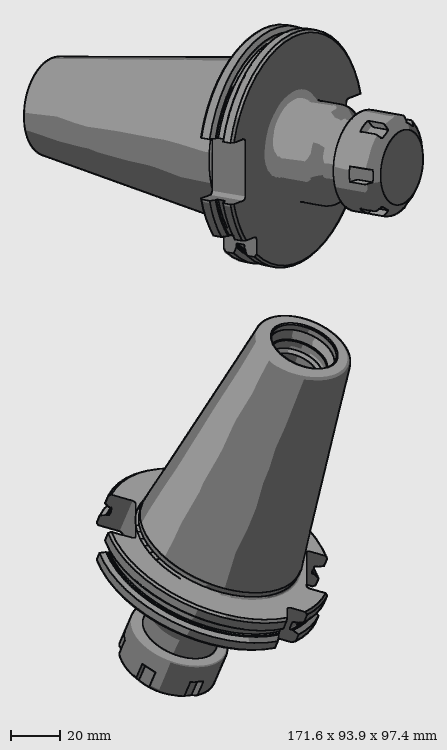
import cadquery as cq
import math

overall_length = 171.6

gauge_x = 101.0
gauge_diameter = 69.8
taper_slope = 7 / 48
taper_end_radius = gauge_diameter / 2 - gauge_x * taper_slope
taper_end_fillet = 2.2

relief_radius = 34.7
relief_start_x = 102.0
relief_fillet = 1.0

flange_start_x = 104.5
flange_end_x = 120.6
flange_radius = 48.7
flange_chamfer = 1.0

groove_x = 112.7
groove_floor_radius = 45.3
groove_mouth_width = 6.5
groove_floor_width = 4.0
groove_side_angle = 30.0
groove_floor_fillet = 0.5

slot_width = 25.7
front_slot_depth_y = 37.8
back_slot_depth_y = 35.5
notch_y = 29.5
notch_z = 30.0
slot_fillet = 1.5

hub_diameter = 41.7
hub_radius = hub_diameter / 2
hub_root_fillet = 6.2
hub_shoulder_fillet = 3.3
neck_radius = 16.0
neck_root_fillet = 0.9
neck_start_x = 144.0
hub_end_x = neck_start_x - (hub_radius - neck_radius)

bore_mouth_radius = 14.5
bore_recess_radius = 13.9
bore_recess_chamfer = bore_mouth_radius - bore_recess_radius
bore_recess_end_x = 3.1
bore_guide_radius = 12.5
bore_guide_x = 7.0
bore_thread_radius = 12.2
bore_thread_chamfer = bore_guide_radius - bore_thread_radius
bore_thread_end_x = 10.0
bore_runout_radius = 11.8
bore_runout_x = 11.2
bore_core_radius = 10.1
bore_core_start_x = 12.4
bore_core_end_x = 68.6
drill_half_angle = 59.0

nut_start_x = 151.7
nut_radius = hub_radius
nut_back_fillet = 1.0
nut_cone_start_x = 167.7
nut_face_radius = 15.5
nut_edge_fillet = 1.4

wrench_slot_count = 6
wrench_slot_floor_radius = 18.0
wrench_slot_floor_width = 5.1
wrench_slot_wall_angle = 15.0
wrench_slot_end_x = 162.0
wrench_slot_end_angle = 36.0
wrench_slot_fillet = 1.5


def turned(outline):
    """Revolve an outline of (x, radius) points about the X axis."""
    return outline.close().revolve(360, (0, 0, 0), (1, 0, 0))


def fillet_round_edge(body, x, edge_radius, fillet_radius):
    """Round the circular edge that has this place along the axis and this radius."""
    margin = 0.2
    reach = edge_radius + margin
    around_edge = cq.selectors.BoxSelector(
        (x - margin, -reach, -reach), (x + margin, reach, reach), boundingbox=True
    )
    inside_edge = cq.selectors.BoxSelector(
        (x - margin, margin - edge_radius, margin - edge_radius),
        (x + margin, edge_radius - margin, edge_radius - margin),
        boundingbox=True,
    )
    return body.edges(around_edge - inside_edge).fillet(fillet_radius)


def holder_blank():
    """Taper, relief, flange, hub and neck as one turned solid."""
    outline = (
        cq.Workplane("XY")
        .lineTo(0, taper_end_radius)
        .lineTo(gauge_x, gauge_diameter / 2)
        .lineTo(relief_start_x, relief_radius)
        .lineTo(flange_start_x - relief_fillet, relief_radius)
        .radiusArc((flange_start_x, relief_radius + relief_fillet), -relief_fillet)
        .lineTo(flange_start_x, flange_radius - flange_chamfer)
        .lineTo(flange_start_x + flange_chamfer, flange_radius)
        .lineTo(flange_end_x - flange_chamfer, flange_radius)
        .lineTo(flange_end_x, flange_radius - flange_chamfer)
        .lineTo(flange_end_x, hub_radius + hub_root_fillet)
        .radiusArc((flange_end_x + hub_root_fillet, hub_radius), -hub_root_fillet)
        .lineTo(hub_end_x, hub_radius)
        .lineTo(neck_start_x, neck_radius)
        .lineTo(nut_start_x, neck_radius)
        .lineTo(nut_start_x, 0)
    )
    blank = turned(outline)
    blank = fillet_round_edge(blank, 0, taper_end_radius, taper_end_fillet)
    blank = fillet_round_edge(blank, neck_start_x, neck_radius, neck_root_fillet)
    return fillet_round_edge(blank, hub_end_x, hub_radius, hub_shoulder_fillet)


def gripper_groove():
    """Ring cut into the rim: upright walls at a filleted floor, then sides that open outwards."""
    mouth_half = groove_mouth_width / 2
    floor_half = groove_floor_width / 2
    side_depth = (mouth_half - floor_half) / math.tan(math.radians(groove_side_angle))
    wall_top_radius = flange_radius - side_depth
    fillet_top_radius = groove_floor_radius + groove_floor_fillet
    fillet_half = floor_half - groove_floor_fillet
    return turned(
        cq.Workplane("XY")
        .moveTo(groove_x - fillet_half, groove_floor_radius)
        .lineTo(groove_x + fillet_half, groove_floor_radius)
        .radiusArc((groove_x + floor_half, fillet_top_radius), -groove_floor_fillet)
        .lineTo(groove_x + floor_half, wall_top_radius)
        .lineTo(groove_x + mouth_half, flange_radius)
        .lineTo(groove_x - mouth_half, flange_radius)
        .lineTo(groove_x - floor_half, wall_top_radius)
        .lineTo(groove_x - floor_half, fillet_top_radius)
        .radiusArc((groove_x - fillet_half, groove_floor_radius), -groove_floor_fillet)
    )


def flange_cut(y_low, y_high, z_low, z_high):
    """Box through the flange thickness with all four long corners rounded."""
    return (
        cq.Workplane("XY")
        .box(flange_end_x - flange_start_x, y_high - y_low, z_high - z_low)
        .edges("|X")
        .fillet(slot_fillet)
        .translate(
            (
                (flange_start_x + flange_end_x) / 2,
                (y_low + y_high) / 2,
                (z_low + z_high) / 2,
            )
        )
    )


def end_bore():
    """Stepped hole with a drill point, entering from the small end of the taper."""
    drill_tip_x = bore_core_end_x + bore_core_radius / math.tan(math.radians(drill_half_angle))
    return turned(
        cq.Workplane("XY")
        .lineTo(0, bore_mouth_radius)
        .lineTo(bore_recess_chamfer, bore_recess_radius)
        .lineTo(bore_recess_end_x, bore_recess_radius)
        .lineTo(bore_guide_x, bore_guide_radius)
        .lineTo(bore_guide_x + bore_thread_chamfer, bore_thread_radius)
        .lineTo(bore_thread_end_x, bore_thread_radius)
        .lineTo(bore_runout_x, bore_runout_radius)
        .lineTo(bore_core_start_x, bore_core_radius)
        .lineTo(bore_core_end_x, bore_core_radius)
        .lineTo(drill_tip_x, 0)
    )


def make_holder():
    beyond_rim = flange_radius + 2 * slot_fillet
    half_slot = slot_width / 2
    return (
        holder_blank()
        .cut(gripper_groove())
        .cut(flange_cut(-beyond_rim, -front_slot_depth_y, -half_slot, half_slot))
        .cut(flange_cut(back_slot_depth_y, beyond_rim, -half_slot, half_slot))
        .cut(flange_cut(-beyond_rim, -notch_y, -beyond_rim, -notch_z))
        .cut(end_bore())
    )


def wrench_slot():
    """Cutter for one wrench slot, facing -Y."""
    height = 2 * (nut_radius - wrench_slot_floor_radius)
    top_radius = wrench_slot_floor_radius + height
    end_run = height * math.tan(math.radians(wrench_slot_end_angle))
    wall_run = height * math.tan(math.radians(wrench_slot_wall_angle))
    floor_half = wrench_slot_floor_width / 2
    top_half = floor_half + wall_run
    lengthwise = (
        cq.Workplane("XY")
        .moveTo(wrench_slot_end_x, -wrench_slot_floor_radius)
        .lineTo(overall_length, -wrench_slot_floor_radius)
        .lineTo(overall_length, -top_radius)
        .lineTo(wrench_slot_end_x - end_run, -top_radius)
        .close()
        .extrude(top_half, both=True)
    )
    floor_corner = (wrench_slot_end_x, -wrench_slot_floor_radius, 0)
    floor_edge = cq.selectors.NearestToPointSelector(floor_corner)
    lengthwise = lengthwise.edges(floor_edge).fillet(wrench_slot_fillet)
    crosswise = (
        cq.Workplane("YZ")
        .moveTo(-wrench_slot_floor_radius, -floor_half)
        .lineTo(-wrench_slot_floor_radius, floor_half)
        .lineTo(-top_radius, top_half)
        .lineTo(-top_radius, -top_half)
        .close()
        .extrude(overall_length)
    )
    return lengthwise.intersect(crosswise)


def make_nut():
    nut = turned(
        cq.Workplane("XY")
        .moveTo(nut_start_x, 0)
        .lineTo(nut_start_x, nut_radius)
        .lineTo(nut_cone_start_x, nut_radius)
        .lineTo(overall_length, nut_face_radius)
        .lineTo(overall_length, 0)
    )
    nut = fillet_round_edge(nut, nut_start_x, nut_radius, nut_back_fillet)
    nut = fillet_round_edge(nut, nut_cone_start_x, nut_radius, nut_edge_fillet)
    slot = wrench_slot()
    for index in range(wrench_slot_count):
        nut = nut.cut(slot.rotate((0, 0, 0), (1, 0, 0), index * 360 / wrench_slot_count))
    return nut


holder = make_holder()
nut = make_nut()
result = cq.Compound.makeCompound([holder.solids().val(), nut.solids().val()])